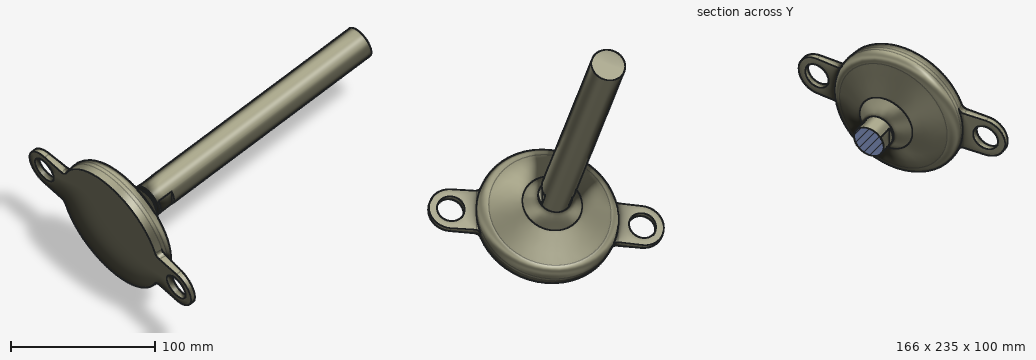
import cadquery as cq

total_length = 235.0
total_width = 166.0

pad_radius = 50.0
sole_radius = 49.4
base_height = 5.6
rim_height = 8.5
shoulder_radius = 43.2
shoulder_height = 15.7
shoulder_mid = (48.5, 13.0)
dome_radius = 21.2
dome_height = 25.4
dome_mid = (15.3, 30.8)

neck_radius = 8.7
neck_start = 34.3
stem_start = 35.2
stem_radius = 12.0
flat_distance = 9.5
flat_start = 37.0
flat_end = 49.0

lug_radius = 15.3
lug_tip_height = 3.8
lug_tip = total_width / 2
lug_center = lug_tip - lug_radius
hole_radius = 9.6
root_fillet = 4.5


def along_y(sketch, start, end):
    """Extrude an XZ sketch between two heights along Y."""
    return sketch.extrude(start - end).translate((0, start, 0))


def make_base():
    """Drafted disc with two filleted, sloping and drilled lugs."""
    disc = (
        cq.Workplane("XY")
        .polyline([(0, 0), (sole_radius, 0), (pad_radius, base_height), (0, base_height)])
        .close()
        .revolve(360, (0, 0, 0), (0, 1, 0))
    )
    strap = along_y(cq.Workplane("XZ").slot2D(total_width, 2 * lug_radius), 0, base_height)
    base = disc.union(strap)

    root_x = (pad_radius**2 - lug_radius**2) ** 0.5
    for side_x in (-1, 1):
        for side_z in (-1, 1):
            root = (side_x * root_x, base_height / 2, side_z * lug_radius)
            base = base.edges(cq.selectors.NearestToPointSelector(root)).fillet(root_fillet)

    slope = (
        cq.Workplane("XY")
        .polyline([(pad_radius, base_height), (lug_tip, lug_tip_height), (lug_tip, base_height)])
        .close()
        .extrude(lug_radius, both=True)
    )
    holes = along_y(
        cq.Workplane("XZ").pushPoints([(-lug_center, 0), (lug_center, 0)]).circle(hole_radius),
        0,
        base_height,
    )
    return base.cut(slope).cut(slope.mirror("YZ")).cut(holes)


def make_body():
    """Turned upper pad, dome, neck and stem."""
    return (
        cq.Workplane("XY")
        .moveTo(0, base_height)
        .lineTo(pad_radius, base_height)
        .lineTo(pad_radius, rim_height)
        .threePointArc(shoulder_mid, (shoulder_radius, shoulder_height))
        .lineTo(dome_radius, dome_height)
        .threePointArc(dome_mid, (neck_radius, neck_start))
        .lineTo(neck_radius, stem_start)
        .lineTo(stem_radius, stem_start)
        .lineTo(stem_radius, total_length)
        .lineTo(0, total_length)
        .close()
        .revolve(360, (0, 0, 0), (0, 1, 0))
    )


def make_wrench_flat():
    """Material removed to leave one wrench flat on the +X side of the stem."""
    depth = stem_radius - flat_distance
    return (
        cq.Workplane("XY")
        .box(depth, flat_end - flat_start, 2 * stem_radius, centered=(False, False, True))
        .translate((flat_distance, flat_start, 0))
    )


wrench_flat = make_wrench_flat()
body = make_body().cut(wrench_flat).cut(wrench_flat.mirror("YZ"))
result = make_base().union(body)